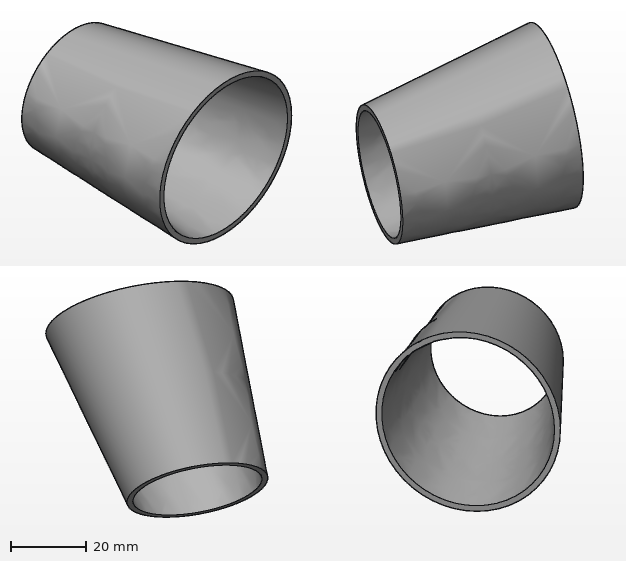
import cadquery as cq

length = 50.8
large_diameter = 50.8
small_diameter = 38.1
wall = 1.65

small_end_offset = -(large_diameter - small_diameter) / 2


def tapered_body(small_end_diameter, large_end_diameter):
    """Straight-sided loft from the small end at X = 0 to the large end at X = length."""
    return (
        cq.Workplane("YZ")
        .center(small_end_offset, 0)
        .circle(small_end_diameter / 2)
        .workplane(offset=length)
        .center(-small_end_offset, 0)
        .circle(large_end_diameter / 2)
        .loft(ruled=True)
    )


outer = tapered_body(small_diameter, large_diameter)
bore = tapered_body(small_diameter - 2 * wall, large_diameter - 2 * wall)

result = outer.cut(bore)